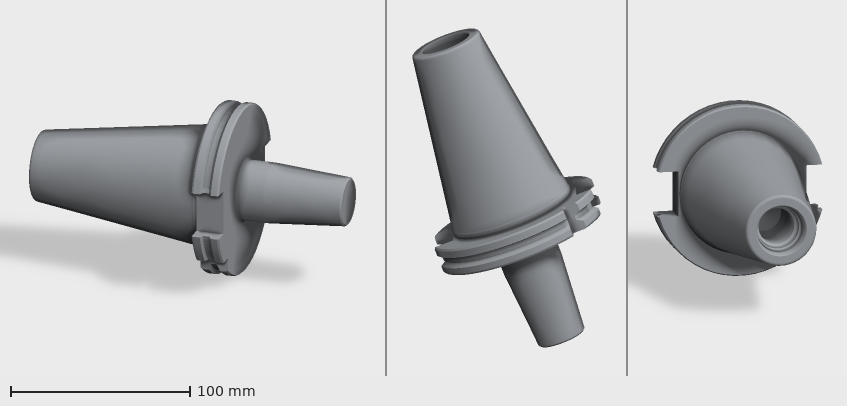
import cadquery as cq
import math

length = 181.6
gauge_x = 101.7
flange_start = 104.6
flange_end = 120.5
shank_cone_start = 137.0

gauge_radius = 34.9
taper_ratio = 7 / 48
taper_end = 100.8
collar_radius = 35.0
collar_end = 103.3
neck_radius = 34.9
taper_tip_fillet = 1.8

flange_radius = 48.7
flange_chamfer_length = 1.0
flange_chamfer_depth = 0.7
groove_floor_radius = 45.8
groove_left = 109.7
groove_left_step = 110.6
groove_floor_start = 111.7
groove_floor_end = 114.0
groove_right = 116.0
groove_step_radius = 46.1

shank_radius = 17.0
shank_tip_radius = 13.8
shank_base_fillet = 2.0
shank_tip_chamfer = 0.9

slot_width = 25.8
slot_floor_front = 37.6
slot_floor_back = 35.5
notch_offset = 30.1
notch_fillet = 1.3

mouth_radius = 14.5
rim_break = 0.5
entry_radius = 13.3
mouth_chamfer_depth = 3.0
entry_depth = 7.6
thread_major_radius = 12.0
thread_minor_radius = 10.2
step_depth = 8.7
thread_chamfer_start = 11.3
bore_depth = 47.2
drill_half_angle = 60


def revolve_profile(points):
    """Revolve a closed (x, radius) outline about the X axis."""
    return cq.Workplane("XY").polyline(points).close().revolve(360, (0, 0, 0), (1, 0, 0))


def taper_radius(x):
    return gauge_radius - (gauge_x - x) * taper_ratio


def make_taper():
    taper = revolve_profile([
        (0, 0),
        (0, taper_radius(0)),
        (taper_end, taper_radius(taper_end)),
        (gauge_x, collar_radius),
        (collar_end, collar_radius),
        (flange_start, neck_radius),
        (flange_start, 0),
    ])
    return taper.faces("<X").edges().fillet(taper_tip_fillet)


def make_flange():
    rim_edge = flange_radius - flange_chamfer_depth
    return revolve_profile([
        (flange_start, 0),
        (flange_start, rim_edge),
        (flange_start + flange_chamfer_length, flange_radius),
        (groove_left, flange_radius),
        (groove_left_step, groove_step_radius),
        (groove_floor_start, groove_floor_radius),
        (groove_floor_end, groove_floor_radius),
        (groove_right, flange_radius),
        (flange_end - flange_chamfer_length, flange_radius),
        (flange_end, rim_edge),
        (flange_end, 0),
    ])


def make_shank():
    fillet_x = flange_end + shank_base_fillet
    fillet_radius = shank_radius + shank_base_fillet
    diagonal = shank_base_fillet * math.sqrt(0.5)
    return (
        cq.Workplane("XY")
        .moveTo(flange_end, 0)
        .lineTo(flange_end, fillet_radius)
        .threePointArc((fillet_x - diagonal, fillet_radius - diagonal), (fillet_x, shank_radius))
        .lineTo(shank_cone_start, shank_radius)
        .lineTo(length - shank_tip_chamfer, shank_tip_radius)
        .lineTo(length, shank_tip_radius - shank_tip_chamfer)
        .lineTo(length, 0)
        .close()
        .revolve(360, (0, 0, 0), (1, 0, 0))
    )


def flange_cutter(y_start, y_end, z_start, z_end):
    """Block spanning the flange width between the given Y and Z limits."""
    size = (flange_end - flange_start, y_end - y_start, z_end - z_start)
    return cq.Workplane("XY").box(*size, centered=False).translate((flange_start, y_start, z_start))


def make_rim_cuts():
    half_slot = slot_width / 2
    front_slot = flange_cutter(-flange_radius, -slot_floor_front, -half_slot, half_slot)
    back_slot = flange_cutter(slot_floor_back, flange_radius, -half_slot, half_slot)
    notch = flange_cutter(-flange_radius, -notch_offset, -flange_radius, -notch_offset)
    notch = notch.edges("|X and >Y and >Z").fillet(notch_fillet)
    return front_slot.union(back_slot).union(notch)


def make_bore():
    tip_depth = bore_depth + thread_minor_radius / math.tan(math.radians(drill_half_angle))
    thread_chamfer_end = thread_chamfer_start + thread_major_radius - thread_minor_radius
    return revolve_profile([
        (0, 0),
        (0, mouth_radius),
        (rim_break, mouth_radius - rim_break),
        (mouth_chamfer_depth, entry_radius),
        (entry_depth, entry_radius),
        (step_depth, thread_major_radius),
        (thread_chamfer_start, thread_major_radius),
        (thread_chamfer_end, thread_minor_radius),
        (bore_depth, thread_minor_radius),
        (tip_depth, 0),
    ])


body = make_taper().union(make_flange()).union(make_shank())
result = body.cut(make_rim_cuts()).cut(make_bore())